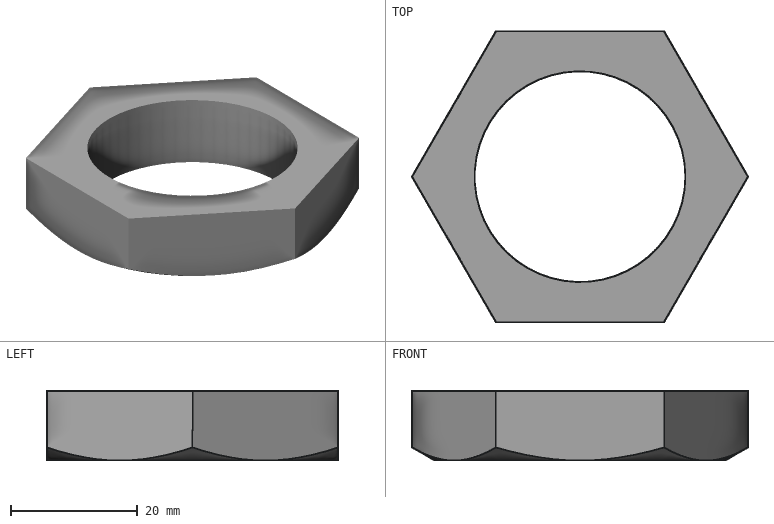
import cadquery as cq
import math

across_corners = 53.1
thickness = 11.0
bore_diameter = 33.25
chamfer_angle = 30.0

corner_radius = across_corners / 2
flat_radius = corner_radius * math.cos(math.radians(30))
chamfer_height = (corner_radius - flat_radius) * math.tan(math.radians(chamfer_angle))


def hexagon_body():
    """Hexagonal prism with two corners on the X axis and its bottom at Z = 0."""
    return cq.Workplane("XY").polygon(6, across_corners).extrude(thickness)


def chamfer_envelope():
    """Round blank whose conical lower edge starts at the inscribed circle."""
    return (
        cq.Workplane("XZ")
        .moveTo(0, 0)
        .lineTo(flat_radius, 0)
        .lineTo(corner_radius, chamfer_height)
        .lineTo(corner_radius, thickness)
        .lineTo(0, thickness)
        .close()
        .revolve(360, (0, 0, 0), (0, 1, 0))
    )


chamfered_body = hexagon_body().intersect(chamfer_envelope())
bore = cq.Workplane("XY").circle(bore_diameter / 2).extrude(thickness)
result = chamfered_body.cut(bore)